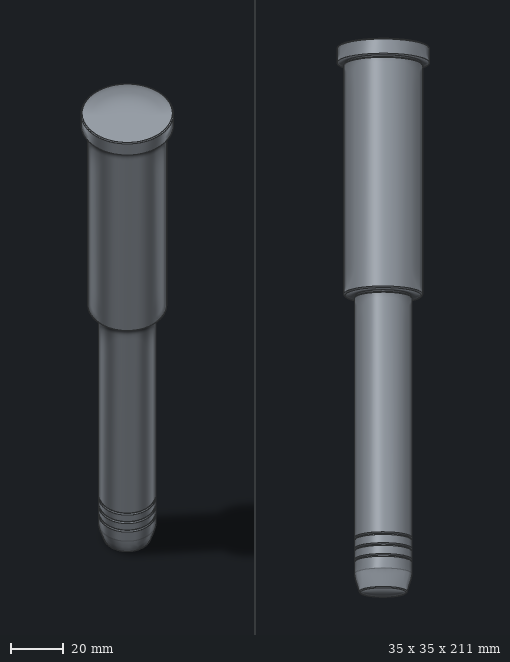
import cadquery as cq

total_length = 211.0

head_radius = 17.5
head_height = 6.0
head_chamfer = 0.5

shank_radius = 15.0
shank_bottom = 115.0
shank_chamfer = 0.53

relief_width = 1.0
relief_depth = 0.5

pin_radius = 11.0

groove_count = 3
lowest_groove = 12.2
groove_pitch = 4.2
groove_width = 1.0
groove_depth = 0.5

tip_height = 7.2
tip_radius = 9.0
tip_bulge = 0.2
tip_chamfer = 0.5


def turn(outline):
    """Revolve a closed (radius, height) outline about the Z axis."""
    return outline.close().revolve(360, (0, 0, 0), (0, 1, 0))


def cylinder(radius, bottom, top):
    return cq.Workplane("XY").workplane(offset=bottom).circle(radius).extrude(top - bottom)


def make_head():
    head = cylinder(head_radius, total_length - head_height, total_length)
    return head.faces(">Z").edges().chamfer(head_chamfer)


def cut_relief(shaft, radius, shoulder):
    """Cut the relief groove where a shaft meets the shoulder above it, sloping out below."""
    slope_bottom = shoulder - relief_width
    floor_radius = radius - relief_depth
    relief = turn(
        cq.Workplane("XZ")
        .moveTo(radius, slope_bottom)
        .lineTo(floor_radius, slope_bottom + relief_depth)
        .lineTo(floor_radius, shoulder)
        .lineTo(radius, shoulder)
    )
    return shaft.cut(relief)


def make_shank():
    head_bottom = total_length - head_height
    shank = cylinder(shank_radius, shank_bottom, head_bottom)
    shank = shank.faces("<Z").edges().chamfer(shank_chamfer)
    return cut_relief(shank, shank_radius, head_bottom)


def make_pin():
    pin = cylinder(pin_radius, tip_height, shank_bottom)
    pin = cut_relief(pin, pin_radius, shank_bottom)
    for index in range(groove_count):
        middle = lowest_groove + index * groove_pitch
        groove = turn(
            cq.Workplane("XZ")
            .moveTo(pin_radius, middle - groove_width / 2)
            .lineTo(pin_radius - groove_depth, middle)
            .lineTo(pin_radius, middle + groove_width / 2)
        )
        pin = pin.cut(groove)
    return pin


def make_tip():
    arc_middle = ((pin_radius + tip_radius) / 2 + tip_bulge, (tip_height + tip_chamfer) / 2)
    return turn(
        cq.Workplane("XZ")
        .lineTo(tip_radius - tip_chamfer, 0)
        .lineTo(tip_radius, tip_chamfer)
        .threePointArc(arc_middle, (pin_radius, tip_height))
        .lineTo(0, tip_height)
    )


result = make_head().union(make_shank()).union(make_pin()).union(make_tip())